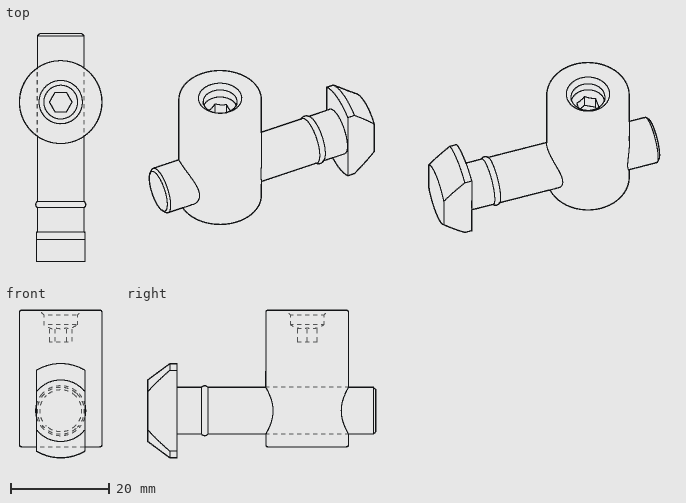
import cadquery as cq
import math

STUD_LENGTH = 46.5
SHANK_RADIUS = 4.8
TIP_CHAMFER = 0.5
HEAD_WIDTH = 9.95
HEAD_LENGTH = 6.0
HEAD_RIM_LENGTH = 1.5
HEAD_RADIUS = 9.63
HEAD_FACE_RADIUS = 6.3
RING_Y = 11.62
RING_WIDTH = 1.25
RING_HEIGHT = 0.33

HOUSING_RADIUS = 8.44
HOUSING_HEIGHT = 27.9
HOUSING_BOTTOM_Z = -7.4
HOUSING_TOP_Z = HOUSING_BOTTOM_Z + HOUSING_HEIGHT
HOUSING_Y = 32.5
EDGE_FILLET = 0.45

BORE_RADIUS = 3.45
MOUTH_RADIUS = 4.4
BORE_DEPTH = 2.98
CONE_ANGLE = 120.0
HEX_ACROSS_FLATS = 4.0
HEX_DEPTH = 6.5


def make_shank():
    """Round shank with a chamfered far end."""
    return (
        cq.Workplane("XZ")
        .circle(SHANK_RADIUS)
        .extrude(-STUD_LENGTH)
        .faces(">Y")
        .chamfer(TIP_CHAMFER)
    )


def make_head():
    """Conical T-head with a short cylindrical rim, trimmed to two flat sides."""
    cone = (
        cq.Workplane("XY")
        .polyline([
            (0, 0),
            (HEAD_FACE_RADIUS, 0),
            (HEAD_RADIUS, HEAD_LENGTH - HEAD_RIM_LENGTH),
            (HEAD_RADIUS, HEAD_LENGTH),
            (0, HEAD_LENGTH),
        ])
        .close()
        .revolve(360, (0, 0, 0), (0, 1, 0))
    )
    flats = cq.Workplane("XY").box(
        HEAD_WIDTH, HEAD_LENGTH, 2 * HEAD_RADIUS, centered=(True, False, True)
    )
    return cone.intersect(flats)


def make_ring():
    """Raised ring with a rounded crest around the shank."""
    half_width = RING_WIDTH / 2
    return (
        cq.Workplane("XY")
        .moveTo(0, RING_Y - half_width)
        .lineTo(SHANK_RADIUS, RING_Y - half_width)
        .threePointArc(
            (SHANK_RADIUS + RING_HEIGHT, RING_Y),
            (SHANK_RADIUS, RING_Y + half_width),
        )
        .lineTo(0, RING_Y + half_width)
        .close()
        .revolve(360, (0, 0, 0), (0, 1, 0))
    )


def make_stud():
    return make_shank().union(make_head()).union(make_ring())


def make_drive_recess():
    """Countersunk bore with a conical floor that leads into a hexagon socket."""
    mouth_depth = MOUTH_RADIUS - BORE_RADIUS
    cone_depth = BORE_RADIUS / math.tan(math.radians(CONE_ANGLE / 2))
    bore = (
        cq.Workplane("XZ")
        .polyline([
            (0, 0),
            (MOUTH_RADIUS, 0),
            (BORE_RADIUS, -mouth_depth),
            (BORE_RADIUS, -BORE_DEPTH),
            (0, -BORE_DEPTH - cone_depth),
        ])
        .close()
        .revolve(360, (0, 0, 0), (0, 1, 0))
    )
    hex_across_corners = HEX_ACROSS_FLATS / math.cos(math.radians(30))
    socket = cq.Workplane("XY").polygon(6, hex_across_corners).extrude(-HEX_DEPTH)
    return bore.union(socket).translate((0, HOUSING_Y, HOUSING_TOP_Z))


def make_housing():
    """Upright cylinder with the drive recess and a cross hole for the shank."""
    body = (
        cq.Workplane("XY", origin=(0, HOUSING_Y, HOUSING_BOTTOM_Z))
        .circle(HOUSING_RADIUS)
        .extrude(HOUSING_HEIGHT)
        .faces("<Z or >Z")
        .edges()
        .fillet(EDGE_FILLET)
    )
    cross_hole = cq.Workplane("XZ").circle(SHANK_RADIUS).extrude(-STUD_LENGTH)
    return body.cut(make_drive_recess()).cut(cross_hole)


stud = make_stud()
housing = make_housing()

result = cq.Compound.makeCompound([stud.val(), housing.val()])